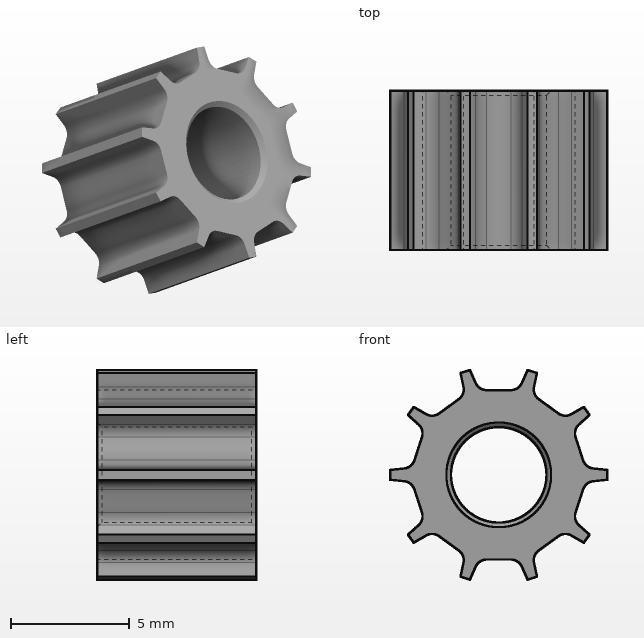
import cadquery as cq
import math

tooth_count = 10
gear_length = 6.7
tip_distance = 4.57
tip_width = 0.42
floor_distance = 3.565
flank_angle = 6.0
root_radius = 0.5
bore_diameter = 4.0
bore_chamfer = 0.2

pitch_angle = 360.0 / tooth_count


def root_corner():
    """Meeting point of the upper flank of the +X tooth and the next floor."""
    half_pitch = math.radians(pitch_angle / 2)
    slope = math.tan(math.radians(flank_angle))
    flank_height_at_axis = tip_width / 2 + slope * tip_distance
    x = (floor_distance - flank_height_at_axis * math.sin(half_pitch)) / (
        math.cos(half_pitch) - slope * math.sin(half_pitch)
    )
    return x, flank_height_at_axis - slope * x


def rotated(point, degrees):
    x, z = point
    angle = math.radians(degrees)
    return (
        x * math.cos(angle) - z * math.sin(angle),
        x * math.sin(angle) + z * math.cos(angle),
    )


def make_gear_body():
    root_x, root_z = root_corner()
    tooth = [
        (root_x, -root_z),
        (tip_distance, -tip_width / 2),
        (tip_distance, tip_width / 2),
        (root_x, root_z),
    ]
    outline = [
        rotated(point, index * pitch_angle)
        for index in range(tooth_count)
        for point in tooth
    ]
    body = cq.Workplane("XZ").polyline(outline).close().extrude(gear_length / 2, both=True)

    selection_radius = (floor_distance + tip_distance) / 2
    root_edges = body.edges("|Y").filter(
        lambda edge: math.hypot(edge.Center().x, edge.Center().z) < selection_radius
    )
    return root_edges.fillet(root_radius)


def make_bore():
    """Through bore as a solid, flared by a 45 degree chamfer at both ends."""
    radius = bore_diameter / 2
    half_length = gear_length / 2
    profile = [
        (0, -half_length),
        (radius + bore_chamfer, -half_length),
        (radius, -half_length + bore_chamfer),
        (radius, half_length - bore_chamfer),
        (radius + bore_chamfer, half_length),
        (0, half_length),
    ]
    return cq.Workplane("XY").polyline(profile).close().revolve(360, (0, 0, 0), (0, 1, 0))


result = make_gear_body().cut(make_bore())